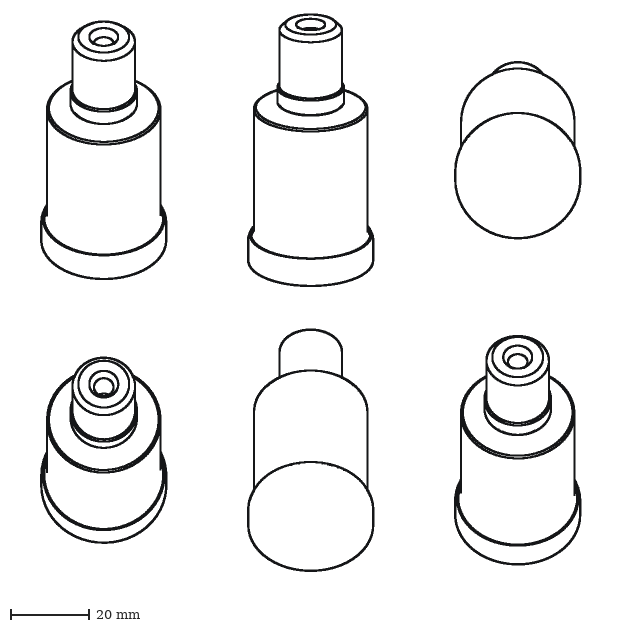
import cadquery as cq
import math

TOTAL_HEIGHT = 66.0

BARREL_RADIUS = 29.0 / 2
BARREL_TOP = 43.0
BARREL_TOP_CHAMFER = 0.5

CAP_RADIUS = 31.98 / 2
CAP_BOTTOM_ROUND = 0.5
CAP_TOP = 7.55
CAP_TOP_RADIUS = 15.52
CAP_TAPER_ANGLE = math.radians(22.5)
CAP_SHOULDER_ROUND = 1.4
TAPER_BOTTOM_RADIUS = CAP_RADIUS - CAP_SHOULDER_ROUND * (1 - math.cos(CAP_TAPER_ANGLE))
TAPER_BOTTOM = CAP_TOP - (TAPER_BOTTOM_RADIUS - CAP_TOP_RADIUS) / math.tan(CAP_TAPER_ANGLE)
SHOULDER_BOTTOM = TAPER_BOTTOM - CAP_SHOULDER_ROUND * math.sin(CAP_TAPER_ANGLE)

SEAT_RADIUS = 30.4 / 2
SEAT_BOTTOM = 3.0

FLARE_ANGLE = math.radians(22.5)
FLARE_ROUND = 2.1
FLARE_TOP = 8.85
FLARE_BOTTOM = FLARE_TOP - FLARE_ROUND * math.sin(FLARE_ANGLE)
FLARE_BOTTOM_RADIUS = BARREL_RADIUS + FLARE_ROUND * (1 - math.cos(FLARE_ANGLE))
SEAT_TOP = FLARE_BOTTOM - (SEAT_RADIUS - FLARE_BOTTOM_RADIUS) / math.tan(FLARE_ANGLE)

SHANK_RADIUS = 16.0 / 2
SHANK_TIP_CHAMFER = 1.5
COLLAR_RADIUS = 17.0 / 2
COLLAR_BOTTOM = 44.1
COLLAR_TOP = 48.9
COLLAR_CHAMFER = 0.4

UNDERCUT_RADIUS = 9.2
UNDERCUT_ANGLE = math.radians(16)
UNDERCUT_ROUND = 0.4
UNDERCUT_FLOOR_RADIUS = SHANK_RADIUS + UNDERCUT_ROUND * (1 + math.sin(UNDERCUT_ANGLE))
UNDERCUT_FLOOR = BARREL_TOP - (UNDERCUT_RADIUS - UNDERCUT_FLOOR_RADIUS) * math.tan(UNDERCUT_ANGLE)
UNDERCUT_ROUND_TOP = UNDERCUT_FLOOR + UNDERCUT_ROUND * math.cos(UNDERCUT_ANGLE)

HOLE_RADIUS = 5.0 / 2
HOLE_DEPTH = 12.0
HOLE_MOUTH_RADIUS = 3.7
HOLE_MOUTH_DEPTH = 2.0
DRILL_TIP_ANGLE = math.radians(118)
DRILL_TIP_LENGTH = HOLE_RADIUS / math.tan(DRILL_TIP_ANGLE / 2)


def revolve_about_z(half_profile):
    return half_profile.revolve(360, (0, 0, 0), (0, 1, 0))


def make_cap():
    half_profile = (
        cq.Workplane("XZ")
        .lineTo(CAP_RADIUS - CAP_BOTTOM_ROUND, 0)
        .radiusArc((CAP_RADIUS, CAP_BOTTOM_ROUND), -CAP_BOTTOM_ROUND)
        .lineTo(CAP_RADIUS, SHOULDER_BOTTOM)
        .radiusArc((TAPER_BOTTOM_RADIUS, TAPER_BOTTOM), -CAP_SHOULDER_ROUND)
        .lineTo(CAP_TOP_RADIUS, CAP_TOP)
        .lineTo(SEAT_RADIUS, CAP_TOP)
        .lineTo(SEAT_RADIUS, SEAT_BOTTOM)
        .lineTo(0, SEAT_BOTTOM)
        .close()
    )
    return revolve_about_z(half_profile)


def make_pin():
    half_profile = (
        cq.Workplane("XZ")
        .moveTo(0, SEAT_BOTTOM)
        .lineTo(SEAT_RADIUS, SEAT_BOTTOM)
        .lineTo(SEAT_RADIUS, SEAT_TOP)
        .lineTo(FLARE_BOTTOM_RADIUS, FLARE_BOTTOM)
        .radiusArc((BARREL_RADIUS, FLARE_TOP), FLARE_ROUND)
        .lineTo(BARREL_RADIUS, BARREL_TOP - BARREL_TOP_CHAMFER)
        .lineTo(BARREL_RADIUS - BARREL_TOP_CHAMFER, BARREL_TOP)
        .lineTo(UNDERCUT_RADIUS, BARREL_TOP)
        .lineTo(UNDERCUT_FLOOR_RADIUS, UNDERCUT_FLOOR)
        .radiusArc((SHANK_RADIUS, UNDERCUT_ROUND_TOP), UNDERCUT_ROUND)
        .lineTo(SHANK_RADIUS, COLLAR_BOTTOM)
        .lineTo(COLLAR_RADIUS, COLLAR_BOTTOM + COLLAR_CHAMFER)
        .lineTo(COLLAR_RADIUS, COLLAR_TOP - COLLAR_CHAMFER)
        .lineTo(SHANK_RADIUS, COLLAR_TOP)
        .lineTo(SHANK_RADIUS, TOTAL_HEIGHT - SHANK_TIP_CHAMFER)
        .lineTo(SHANK_RADIUS - SHANK_TIP_CHAMFER, TOTAL_HEIGHT)
        .lineTo(HOLE_MOUTH_RADIUS, TOTAL_HEIGHT)
        .lineTo(HOLE_RADIUS, TOTAL_HEIGHT - HOLE_MOUTH_DEPTH)
        .lineTo(HOLE_RADIUS, TOTAL_HEIGHT - HOLE_DEPTH)
        .lineTo(0, TOTAL_HEIGHT - HOLE_DEPTH - DRILL_TIP_LENGTH)
        .close()
    )
    return revolve_about_z(half_profile)


cap = make_cap()
pin = make_pin()
result = cq.Compound.makeCompound([cap.val(), pin.val()])